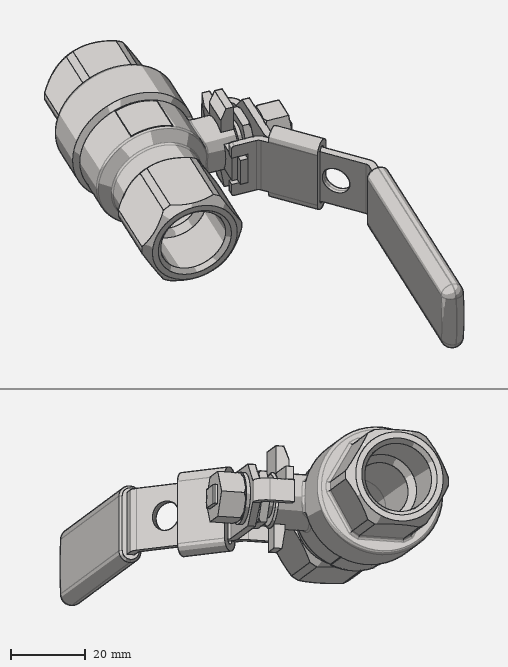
import cadquery as cq
import math


OVERLAP = 1.0
SELECT_MARGIN = 0.2

BODY_LENGTH = 74.8
HEX_FLATS = 26.0
HEX_ROUND_DIA = 28.8
HEX_END_CHAMFER = 2.2
NECK_END_CHAMFER = 1.7
LEFT_HEX_END_X = -20.3
RIGHT_HEX_START_X = 16.5
FLANGE_DIA = 35.0
FLANGE_END_X = -7.0
FLANGE_EDGE_RADIUS = 0.9
FLARE_RADIUS = 0.9
SHELL_RADIUS = 16.0
SHELL_START_X = -5.6
SHELL_END_X = 6.8
NECK_DIA = 25.5
SHOULDER_RADIUS = 1.0
PAD_RADIUS = 16.25
PAD_X = (-5.2, 6.4)
PAD_WIDTH = 12.0

BORE_DIA = 15.0
SOCKET_DIA = 18.64
SOCKET_DEPTH = 15.0
SOCKET_CHAMFER = 1.2

BOSS_DIA = 15.0
BOSS_TOP_Y = 25.2
BOSS_CHAMFER = 0.6
BOSS_BLEND_RADIUS = 0.7
COLLAR_DIA = 9.5
GLAND_FLATS = 14.0
GLAND_Y = (27.0, 29.3)
GLAND_CHAMFER = 0.5
STEM_DIA = 8.0
STEM_FLAT_WIDTH = 5.2
STEM_TIP_WIDTH = 6.8
STEM_TIP_CHAMFER = 0.4
STEM_TOP_Y = 41.6
WASHER_DIA = 14.0
WASHER_TOP_Y = 33.5
NUT_FLATS = 12.3
NUT_TOP_Y = 40.5
NUT_CHAMFER = 0.7

STOP_TOP_Y = 24.5
STOP_BOTTOM_Y = 20.8
STOP_TIP_Y = 22.3
STOP_LUG_ROOT = 2.0
LEFT_LUG_END_X = -13.5
LEFT_LUG_Z = (3.0, 6.5)
LEFT_LUG_KNEE_X = -8.0
RIGHT_LUG_END_X = 14.3
RIGHT_LUG_Z = (-4.1, 4.1)
UPPER_ARM_X = (-4.4, 3.9)
UPPER_ARM_END_Z = 14.1
UPPER_ARM_KNEE_Z = 10.5
LOWER_ARM_X = (-2.7, 2.7)
LOWER_ARM_END_Z = -13.6
LOWER_ARM_KNEE_Z = -8.3
LOWER_ARM_KNEE_Y = 21.4

STRIP_THICKNESS = 2.1
STRIP_WIDTH = 17.0
LEVER_Y = 31.35
GRIP_Y = 52.45
LEVER_TAB_X = -12.05
LEVER_TAB_WIDTH = 6.0
LEVER_TAB_END_Y = 22.0
LEVER_SHOULDER_X = (-9.1, -4.6)
RAMP_OFFSET_X = -19.25
BEND_RADIUS = 1.5
PADLOCK_HOLE_DIA = 8.0
PADLOCK_HOLE_Y = 45.5

GRIP_THICKNESS = 6.1
GRIP_WIDTH = 21.0
GRIP_START_X = 37.3
GRIP_END_X = 95.1
GRIP_END_BULGE = 1.1
GRIP_CORNER_RADIUS = 3.1
GRIP_EDGE_RADIUS = 3.0
GRIP_START_CHAMFER = 0.7

SLIDE_WALL = 1.9
SLIDE_WIDTH = 23.0
SLIDE_LENGTH = 14.3
SLIDE_MID_Y = 37.2
LEG_X = 12.05
LEG_END_Y = 20.3
LEG_CORNER_RADIUS = 0.8
LEG_NOTCH_WIDTH = 9.0
LEG_NOTCH_TOP_Y = 25.0

RAMP_ANGLE = math.radians(45)
COS_HEX = math.cos(math.radians(30))


def revolve_x(points):
    """Solid of revolution about X from (x, radius) points."""
    return cq.Workplane("XY").polyline(points).close().revolve(360, (0, 0, 0), (1, 0, 0))


def at_height(y):
    """Sketch plane facing +Y at the given height on the stem axis."""
    return cq.Workplane(cq.Plane(origin=(0, y, 0), xDir=(1, 0, 0), normal=(0, 1, 0)))


def disc(diameter, y_start, y_end):
    return at_height(y_start).circle(diameter / 2).extrude(y_end - y_start)


def box(x_range, y_range, z_range):
    (x0, x1), (y0, y1), (z0, z1) = x_range, y_range, z_range
    block = cq.Workplane("XY").box(x1 - x0, y1 - y0, z1 - z0, centered=False)
    return block.translate((x0, y0, z0))


def hex_end(x_start, x_end, chamfer_start, chamfer_end):
    """Wrench hexagon with flats on +Z and -Z, corners turned and ends chamfered."""
    length = x_end - x_start
    prism = cq.Workplane("YZ", origin=(x_start, 0, 0)).polygon(6, HEX_FLATS / COS_HEX).extrude(length)
    radius = HEX_ROUND_DIA / 2
    turned = revolve_x([
        (x_start, 0),
        (x_start, radius - chamfer_start),
        (x_start + chamfer_start, radius),
        (x_end - chamfer_end, radius),
        (x_end, radius - chamfer_end),
        (x_end, 0),
    ])
    return prism.intersect(turned)


def make_shell():
    """Flange, ball housing, 45 degree shoulder and neck, with rounded corners."""
    flange_radius = FLANGE_DIA / 2
    neck_radius = NECK_DIA / 2
    shoulder_end_x = SHELL_END_X + SHELL_RADIUS - neck_radius
    shell = revolve_x([
        (LEFT_HEX_END_X, 0),
        (LEFT_HEX_END_X, flange_radius),
        (FLANGE_END_X, flange_radius),
        (SHELL_START_X, SHELL_RADIUS),
        (SHELL_END_X, SHELL_RADIUS),
        (shoulder_end_x, neck_radius),
        (RIGHT_HEX_START_X + OVERLAP, neck_radius),
        (RIGHT_HEX_START_X + OVERLAP, 0),
    ])
    shoulder_edges = cq.selectors.BoxSelector(
        (SHELL_END_X - SELECT_MARGIN, -FLANGE_DIA, -FLANGE_DIA),
        (shoulder_end_x + SELECT_MARGIN, FLANGE_DIA, FLANGE_DIA),
    )
    shell = shell.edges("%CIRCLE").edges(shoulder_edges).fillet(SHOULDER_RADIUS)
    return shell.faces("<X").edges().fillet(FLANGE_EDGE_RADIUS)


def make_label_pads():
    x_start, x_end = PAD_X
    barrel = cq.Workplane("YZ", origin=(x_start, 0, 0)).circle(PAD_RADIUS).extrude(x_end - x_start)
    half = PAD_WIDTH / 2
    return barrel.intersect(box(PAD_X, (-half, half), (-PAD_RADIUS, PAD_RADIUS)))


def make_bore():
    """Through bore with a chamfered, cone-bottomed socket at each end."""
    half = BODY_LENGTH / 2
    bore_radius = BORE_DIA / 2
    socket_radius = SOCKET_DIA / 2
    socket = revolve_x([
        (half, 0),
        (half, socket_radius + SOCKET_CHAMFER),
        (half - SOCKET_CHAMFER, socket_radius),
        (half - SOCKET_DEPTH, socket_radius),
        (half - SOCKET_DEPTH - (socket_radius - bore_radius), bore_radius),
        (0, bore_radius),
        (0, 0),
    ])
    return socket.union(socket.mirror("YZ"))


def blend_boss(body):
    """Round the joint between the stem boss and the shell."""
    reach = BOSS_DIA / 2 + SELECT_MARGIN
    joint = cq.selectors.BoxSelector(
        (-reach, NECK_DIA / 2, -reach),
        (reach, FLANGE_DIA / 2 + SELECT_MARGIN, reach),
        boundingbox=True,
    )
    return body.edges(joint).fillet(BOSS_BLEND_RADIUS)


def make_body():
    half = BODY_LENGTH / 2
    shell = make_shell()
    left_hex = hex_end(-half, LEFT_HEX_END_X + OVERLAP, HEX_END_CHAMFER, OVERLAP)
    body = shell.union(left_hex)
    reach = HEX_ROUND_DIA / 2 + SELECT_MARGIN
    joint = cq.selectors.BoxSelector(
        (LEFT_HEX_END_X - SELECT_MARGIN, -reach, -reach),
        (LEFT_HEX_END_X + SELECT_MARGIN, reach, reach),
        boundingbox=True,
    )
    body = body.edges(joint).fillet(FLARE_RADIUS)
    boss = disc(BOSS_DIA, 0, BOSS_TOP_Y).faces(">Y").chamfer(BOSS_CHAMFER)
    body = body.union(boss)
    body = blend_boss(body)
    right_hex = hex_end(RIGHT_HEX_START_X, half, NECK_END_CHAMFER, HEX_END_CHAMFER)
    return body.union(right_hex).union(make_label_pads()).cut(make_bore())


def make_stop_plate():
    """Cast stop around the boss: a lug on each side along X and an arm up and down along Z."""
    y_range = (STOP_BOTTOM_Y, STOP_TOP_Y)
    left_lug = (
        cq.Workplane("XY", origin=(0, 0, LEFT_LUG_Z[0]))
        .polyline([
            (LEFT_LUG_END_X, STOP_TOP_Y),
            (LEFT_LUG_END_X, STOP_TIP_Y),
            (LEFT_LUG_KNEE_X, STOP_BOTTOM_Y),
            (-STOP_LUG_ROOT, STOP_BOTTOM_Y),
            (-STOP_LUG_ROOT, STOP_TOP_Y),
        ])
        .close()
        .extrude(LEFT_LUG_Z[1] - LEFT_LUG_Z[0])
    )
    right_lug = box((STOP_LUG_ROOT, LEG_X), y_range, RIGHT_LUG_Z)
    right_tip = box((LEG_X, RIGHT_LUG_END_X), (STOP_TIP_Y, STOP_TOP_Y), RIGHT_LUG_Z)

    upper_arm = (
        cq.Workplane("YZ", origin=(UPPER_ARM_X[0], 0, 0))
        .polyline([
            (STOP_TOP_Y, STOP_LUG_ROOT),
            (STOP_TOP_Y, UPPER_ARM_END_Z),
            (STOP_TIP_Y, UPPER_ARM_END_Z),
            (STOP_BOTTOM_Y, UPPER_ARM_KNEE_Z),
            (STOP_BOTTOM_Y, STOP_LUG_ROOT),
        ])
        .close()
        .extrude(UPPER_ARM_X[1] - UPPER_ARM_X[0])
    )
    lower_arm = (
        cq.Workplane("YZ", origin=(LOWER_ARM_X[0], 0, 0))
        .polyline([
            (STOP_TOP_Y, -STOP_LUG_ROOT),
            (STOP_TOP_Y, LOWER_ARM_END_Z),
            (STOP_TIP_Y, LOWER_ARM_END_Z),
            (LOWER_ARM_KNEE_Y, LOWER_ARM_KNEE_Z),
            (LOWER_ARM_KNEE_Y, -STOP_LUG_ROOT),
        ])
        .close()
        .extrude(LOWER_ARM_X[1] - LOWER_ARM_X[0])
    )
    return left_lug.union(right_lug).union(right_tip).union(upper_arm).union(lower_arm)


def hex_nut(flats, y_start, y_end):
    return at_height(y_start).polygon(6, flats / COS_HEX).extrude(y_end - y_start)


def make_stem():
    collar = disc(COLLAR_DIA, BOSS_TOP_Y - OVERLAP, GLAND_Y[0])
    gland = hex_nut(GLAND_FLATS, *GLAND_Y)
    gland_round = disc(GLAND_FLATS / COS_HEX, *GLAND_Y).faces(">Y").chamfer(GLAND_CHAMFER)
    stem = disc(STEM_DIA, GLAND_Y[0], NUT_TOP_Y)
    tip = (
        at_height(NUT_TOP_Y)
        .rect(STEM_TIP_WIDTH, STEM_FLAT_WIDTH)
        .extrude(STEM_TOP_Y - NUT_TOP_Y)
        .faces(">Y")
        .edges("|Z")
        .chamfer(STEM_TIP_CHAMFER)
    )
    washer = disc(WASHER_DIA, LEVER_Y, WASHER_TOP_Y)
    nut = hex_nut(NUT_FLATS, WASHER_TOP_Y, NUT_TOP_Y)
    nut_round = disc(NUT_FLATS / COS_HEX, WASHER_TOP_Y, NUT_TOP_Y).faces("<Y").chamfer(NUT_CHAMFER)
    nut = nut.intersect(nut_round)
    stack = collar.union(gland.intersect(gland_round))
    for part in (stem, tip, washer, nut):
        stack = stack.union(part)
    return stack


def bent_strip(path, thickness, width):
    """Flat strip along (x, y) centre points, centred on Z, with every bend rounded."""
    headings = [math.atan2(b[1] - a[1], b[0] - a[0]) for a, b in zip(path, path[1:])]
    before = [headings[0]] + headings
    after = headings + [headings[-1]]
    left_side = []
    right_side = []
    for (x, y), h_in, h_out in zip(path, before, after):
        reach = thickness / 2 / math.cos((h_out - h_in) / 2)
        dx = -math.sin((h_in + h_out) / 2) * reach
        dy = math.cos((h_in + h_out) / 2) * reach
        left_side.append((x + dx, y + dy))
        right_side.append((x - dx, y - dy))
    outline = left_side + right_side[::-1]
    strip = cq.Workplane("XY").polyline(outline).close().extrude(width / 2, both=True)
    for i in range(1, len(path) - 1):
        turns_left = after[i] > before[i]
        inner, outer = (left_side[i], right_side[i]) if turns_left else (right_side[i], left_side[i])
        for (x, y), radius in ((inner, BEND_RADIUS), (outer, BEND_RADIUS + thickness)):
            corner = cq.selectors.NearestToPointSelector((x, y, 0))
            strip = strip.edges("|Z").edges(corner).fillet(radius)
    return strip


def ramp_plane(y):
    """Plane across the ramp: local x along Z, local y out of the strip, normal up the ramp."""
    return cq.Plane(
        origin=(y + RAMP_OFFSET_X, y, 0),
        xDir=(0, 0, 1),
        normal=(math.cos(RAMP_ANGLE), math.sin(RAMP_ANGLE), 0),
    )


def make_lever():
    strip = bent_strip(
        [
            (LEVER_TAB_X, LEVER_TAB_END_Y),
            (LEVER_TAB_X, LEVER_Y),
            (LEVER_Y + RAMP_OFFSET_X, LEVER_Y),
            (GRIP_Y + RAMP_OFFSET_X, GRIP_Y),
            (GRIP_START_X + GRIP_CORNER_RADIUS, GRIP_Y),
        ],
        STRIP_THICKNESS,
        STRIP_WIDTH,
    )
    half_tab = LEVER_TAB_WIDTH / 2
    half_width = STRIP_WIDTH / 2
    taper_start, taper_end = LEVER_SHOULDER_X
    tab_tip_x = LEVER_TAB_X - STRIP_THICKNESS
    outline = (
        cq.Workplane("XZ", origin=(0, GRIP_Y + STRIP_THICKNESS, 0))
        .polyline([
            (tab_tip_x, -half_tab),
            (taper_start, -half_tab),
            (taper_end, -half_width),
            (GRIP_END_X, -half_width),
            (GRIP_END_X, half_width),
            (taper_end, half_width),
            (taper_start, half_tab),
            (tab_tip_x, half_tab),
        ])
        .close()
        .extrude(GRIP_Y)
    )
    lever = strip.intersect(outline)
    hole_plane = cq.Plane(
        origin=(PADLOCK_HOLE_Y + RAMP_OFFSET_X, PADLOCK_HOLE_Y, 0),
        xDir=(0, 0, 1),
        normal=(-math.sin(RAMP_ANGLE), math.cos(RAMP_ANGLE), 0),
    )
    hole = cq.Workplane(hole_plane).circle(PADLOCK_HOLE_DIA / 2).extrude(STRIP_THICKNESS, both=True)
    return lever.cut(hole)


def make_grip():
    """Flat grip with fully rounded long edges and a slightly bulging far end."""
    half = GRIP_WIDTH / 2
    corner_x = GRIP_END_X - GRIP_END_BULGE
    grip = (
        at_height(GRIP_Y - GRIP_THICKNESS / 2)
        .moveTo(GRIP_START_X, -half)
        .lineTo(corner_x, -half)
        .threePointArc((GRIP_END_X, 0), (corner_x, half))
        .lineTo(GRIP_START_X, half)
        .close()
        .extrude(GRIP_THICKNESS)
    )
    grip = grip.edges("|Y").edges(">X").fillet(GRIP_CORNER_RADIUS)
    rounded = grip.edges("#Y").edges(
        cq.selectors.BoxSelector(
            (GRIP_START_X + SELECT_MARGIN, 0, -GRIP_WIDTH),
            (GRIP_END_X + SELECT_MARGIN, GRIP_Y + GRIP_THICKNESS, GRIP_WIDTH),
        )
    )
    grip = rounded.fillet(GRIP_EDGE_RADIUS)
    return grip.faces("<X").chamfer(GRIP_START_CHAMFER)


def make_locking_slide():
    """Folded sleeve around the ramp, with a notched leg that drops over the stop lug."""
    thickness = STRIP_THICKNESS + 2 * SLIDE_WALL
    plane = ramp_plane(SLIDE_MID_Y)
    sleeve = cq.Workplane(plane).slot2D(SLIDE_WIDTH, thickness).extrude(SLIDE_LENGTH / 2, both=True)
    opening_width = SLIDE_WIDTH - 2 * SLIDE_WALL
    opening = cq.Workplane(plane).slot2D(opening_width, STRIP_THICKNESS).extrude(SLIDE_LENGTH, both=True)
    sleeve = sleeve.cut(opening)

    wall_offset_x = (STRIP_THICKNESS + SLIDE_WALL) / 2 / math.sin(RAMP_ANGLE)
    bend_y = LEG_X - RAMP_OFFSET_X - wall_offset_x
    wall_x = SLIDE_MID_Y + RAMP_OFFSET_X + wall_offset_x
    leg = bent_strip(
        [(LEG_X, LEG_END_Y), (LEG_X, bend_y), (wall_x, SLIDE_MID_Y)],
        SLIDE_WALL,
        STRIP_WIDTH,
    )
    leg = leg.faces("<Y").edges("|X").fillet(LEG_CORNER_RADIUS)
    half_notch = LEG_NOTCH_WIDTH / 2
    notch = box(
        (LEG_X - SLIDE_WALL, LEG_X + SLIDE_WALL),
        (LEG_END_Y - OVERLAP, LEG_NOTCH_TOP_Y),
        (-half_notch, half_notch),
    )
    return sleeve.union(leg.cut(notch))


result = make_body()
for piece in (make_stop_plate(), make_stem(), make_lever(), make_grip(), make_locking_slide()):
    result = result.union(piece)